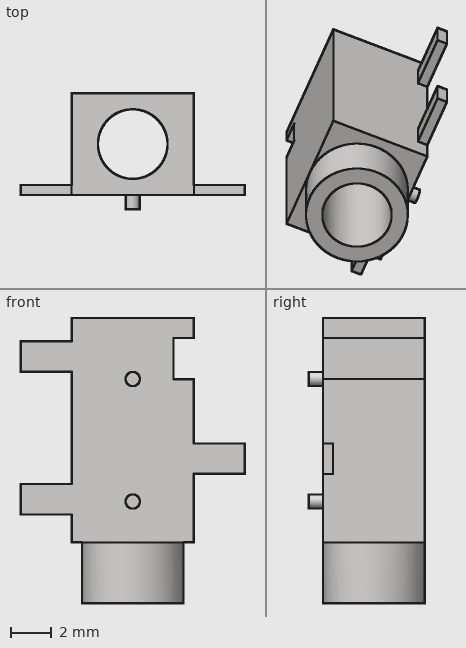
import cadquery as cq

total_height = 14.0
body_width = 5.99
body_depth = 5.0
body_height = 11.0
barrel_diameter = body_depth
bore_diameter = 3.4

terminal_length = 2.5
terminal_height = 1.5
terminal_thickness = 0.5
upper_left_terminal_z = 12.11
terminal_spacing = 7.0
right_terminal_z = 7.1

pin_diameter = 0.7
pin_length = 0.7
upper_pin_z = 11.0
pin_spacing = 6.0

notch_depth = 1.0
notch_height = 2.0
notch_top_margin = 1.0

barrel_length = total_height - body_height
front_y = -body_depth / 2
side_x = body_width / 2


def make_terminal(side, center_z):
    """Flat terminal on the left (side = -1) or right (side = 1)."""
    return (
        cq.Workplane("XY")
        .box(terminal_length, terminal_thickness, terminal_height)
        .translate((
            side * (side_x + terminal_length / 2),
            front_y + terminal_thickness / 2,
            center_z,
        ))
    )


def make_pin(center_z):
    """Round pin standing out of the front face."""
    return (
        cq.Workplane("XZ", origin=(0, front_y, center_z))
        .circle(pin_diameter / 2)
        .extrude(pin_length)
    )


body = (
    cq.Workplane("XY", origin=(0, 0, barrel_length))
    .rect(body_width, body_depth)
    .extrude(body_height)
)
barrel = cq.Workplane("XY").circle(barrel_diameter / 2).extrude(barrel_length)
result = body.union(barrel)

notch = (
    cq.Workplane("XY")
    .box(notch_depth, body_depth, notch_height)
    .translate((
        side_x - notch_depth / 2,
        0,
        total_height - notch_top_margin - notch_height / 2,
    ))
)
result = result.cut(notch)

bore = cq.Workplane("XY").circle(bore_diameter / 2).extrude(total_height)
result = result.cut(bore)

for terminal_z in (upper_left_terminal_z, upper_left_terminal_z - terminal_spacing):
    result = result.union(make_terminal(-1, terminal_z))
result = result.union(make_terminal(1, right_terminal_z))

for pin_z in (upper_pin_z, upper_pin_z - pin_spacing):
    result = result.union(make_pin(pin_z))